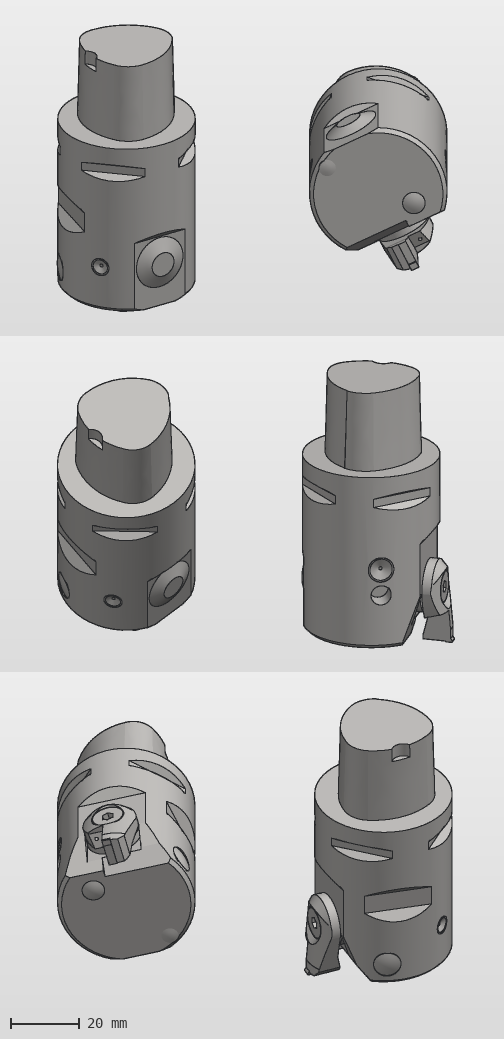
import cadquery as cq
import math

BODY_RADIUS = 20.0
BODY_LENGTH = 53.3
BODY_CHAMFER = 1.2
CUT_REACH = 32.0

SHANK_LENGTH = 24.0
LOBE_RADIUS = 8.9
FLANK_RADIUS = 19.2
LOBE_CENTRE = 6.1
SHANK_TAPER = 1 / 40
SHANK_NOTCH_RADIUS = 3.4
SHANK_NOTCH_DEPTH = 4.2
SHANK_NOTCH_CENTRE_Y = -14.2

GRIP_DISTANCE = 17.6
GRIP_TOP = -6.7
GRIP_BOTTOM = -9.3
GRIP_FLARE = math.tan(math.radians(30))

SEAT_DISTANCE = 17.3
FLAT_TOP = -23.0
FRONT_FLAT_BOTTOM = -29.0
FRONT_FLAT_ANGLE = 260
DIAL_FLAT_DISTANCE = 18.0
DIAL_FLAT_TOP = -30.8

TOOL_Z = -39.2
SEAT_RADIUS = 8.0

RELIEF_SLOPE = 0.31
RELIEF_OVERRUN = 0.8
CLEARANCE_TOP = -47.8
CLEARANCE_SLOPE = 0.69
CLEARANCE_EDGE_Y = 3.6
SLOT_HALF_WIDTH = 8.1
SLOT_FLOOR_X = -14.2
BOSS_FACE_X = -16.7

DIAL_BASE_RADIUS = 8.0
DIAL_TOP_RADIUS = 3.8
DIAL_TOP_X = 19.8

SIDE_DOME_RADIUS = 4.0
SIDE_DOME_RISE = 0.7
SIDE_DOME_ANGLE = 249
SIDE_DOME_Z = -46.5
BOTTOM_DOMES = (
    (-7.0, 8.1, 3.3, 0.7),
    (13.6, -9.8, 2.5, 0.3),
)
CAP_ROOT = 1.6
DIMPLE_TIP_RADIUS = 0.5
DIMPLE_LIP = 0.5
OIL_HOLE_RADIUS = 2.7
OIL_HOLE_DEPTH = 1.1
OIL_HOLE_ANGLE = 305
LOCK_HOLE_RADIUS = 3.8
LOCK_HOLE_DEPTH = 1.6
LOCK_HOLE_Z = -28.8
PLAIN_HOLE_RADIUS = 3.0
PLAIN_HOLE_DEPTH = 6.4
PLAIN_HOLE_Z = -36.6
REAR_HOLE_ANGLE = 113

RIM_FACE_X = -20.1
FRONT_RADIUS = 12.0
CREST_TOP_X = -22.6
CREST_TOP_Z = -34.0
CREST_SLOPE = 0.09
BEND_Z = -52.0
CROWN_LENGTH = 6.4
ARM_TANGENT_ANGLE = 192
ARM_EDGE_Y = 1.1
ARM_BOTTOM = -55.4
ARM_FOOT = ((-3.4, -55.2), (-5.2, -53.1))
HEEL_MIDDLE = (7.0, -43.4)
HEEL_END_Y = 5.0
FLARE_TOP = -48.7
FLARE_BOTTOM = -54.3
FLARE_BOTTOM_X = -15.8
STEP_FRONT_Z = -46.1
STEP_BACK_Z = -47.7
STEP_FRONT_X = -21.7
COOLANT_RADIUS = 0.5
COOLANT_X = -19.9
COOLANT_Y = 3.8
COOLANT_TOP = -44.4
TIP_EDGE_Y = -1.3
TIP_X = -24.7
TIP_Z = -56.0
TIP_ROOT = (-24.0, -54.6)
TIP_POINT = (TIP_X, -55.6)
TIP_NOSE_START = (-24.6, TIP_Z)
TIP_NOSE_END = (-22.7, TIP_Z)
TIP_RELIEF = (-22.6, -55.8)
TIP_HEEL_BOTTOM = -55.7
TIP_HEEL_TOP = -54.9

HEAD_RADIUS = 4.6
HEAD_FACE_X = -22.1
HEAD_SEAT_X = -18.9
COUNTERBORE_RADIUS = 4.8
MOUTH_LENGTH = 6.4
FLARED_MOUTH_SLOPE = 1.1
SCREW_RADIUS = 1.2
SCREW_END_X = -9.6
HEX_CORNER_DIAMETER = 3.6
HEX_DEPTH = 2.0


def x_cylinder(radius, x_start, x_end):
    """Cylinder on the tool axis between two X positions."""
    return cq.Workplane("YZ", origin=(x_start, 0, TOOL_Z)).circle(radius).extrude(x_end - x_start)


def x_cone(radius_start, radius_end, x_start, x_end):
    """Truncated cone on the tool axis between two X positions."""
    outline = [(x_start, 0), (x_start, radius_start), (x_end, radius_end), (x_end, 0)]
    cone = cq.Workplane("XY").polyline(outline).close().revolve(360, (0, 0, 0), (1, 0, 0))
    return cone.translate((0, 0, TOOL_Z))


def chord_cut(angle, profile):
    """Tool that cuts a straight (radius, Z) profile across the body at the given angle about Z."""
    tool = cq.Workplane("XZ").polyline(profile).close().extrude(BODY_RADIUS, both=True)
    return tool.rotate((0, 0, 0), (0, 0, 1), angle)


def flared_notch(angle, distance, top, bottom, flare):
    """Flat-bottomed notch whose upper and lower walls flare outward."""
    rise = (CUT_REACH - distance) * flare
    return chord_cut(angle, [
        (distance, top), (CUT_REACH, top + rise), (CUT_REACH, bottom - rise), (distance, bottom)])


def radial_revolve(profile, angle, z):
    """Revolve an (offset, radius) profile around an axis pointing out of the body."""
    solid = cq.Workplane("XY").polyline(profile).close().revolve(360, (0, 0, 0), (1, 0, 0))
    return solid.translate((0, 0, z)).rotate((0, 0, 0), (0, 0, 1), angle)


def dimple(radius, depth, angle, z):
    """Conical dish with a stepped rim and a small flat tip, sunk radially into the body."""
    rim = math.sqrt(BODY_RADIUS**2 - radius**2)
    return radial_revolve([
        (BODY_RADIUS - depth, 0), (BODY_RADIUS - depth, DIMPLE_TIP_RADIUS),
        (rim, radius - DIMPLE_LIP), (rim, radius), (CUT_REACH, radius), (CUT_REACH, 0)], angle, z)


def ball_cap(radius, rise):
    """Spherical cap with its base on Z = 0, extended down by a short root."""
    ball_radius = (radius**2 + rise**2) / (2 * rise)
    half_angle = math.asin(radius / ball_radius) / 2
    middle = (ball_radius * math.sin(half_angle), rise - ball_radius * (1 - math.cos(half_angle)))
    outline = (cq.Workplane("XZ").moveTo(0, -CAP_ROOT).lineTo(radius, -CAP_ROOT).lineTo(radius, 0)
               .threePointArc(middle, (0, rise)).close())
    return outline.revolve(360, (0, 0, 0), (0, 1, 0))


def polar(centre, radius, degrees):
    """Point at a radius and angle from a centre."""
    angle = math.radians(degrees)
    return (centre[0] + radius * math.cos(angle), centre[1] + radius * math.sin(angle))


def make_shank():
    outline = cq.Workplane("XY").moveTo(*polar(polar((0, 0), LOBE_CENTRE, 90), LOBE_RADIUS, 60))
    for lobe_angle in (90, 210, 330):
        lobe = polar((0, 0), LOBE_CENTRE, lobe_angle)
        opposite = polar((0, 0), LOBE_CENTRE, lobe_angle - 120)
        outline = outline.threePointArc(
            polar(lobe, LOBE_RADIUS, lobe_angle), polar(lobe, LOBE_RADIUS, lobe_angle + 30))
        flank_angle = lobe_angle + 60
        outline = outline.threePointArc(
            polar(opposite, FLANK_RADIUS, flank_angle), polar(opposite, FLANK_RADIUS, flank_angle + 30))
    shank = outline.close().extrude(SHANK_LENGTH, taper=math.degrees(math.atan(SHANK_TAPER)))
    notch = (cq.Workplane("XY", origin=(0, SHANK_NOTCH_CENTRE_Y, SHANK_LENGTH))
             .circle(SHANK_NOTCH_RADIUS).extrude(-SHANK_NOTCH_DEPTH))
    return shank.cut(notch)


def cut_seat(body):
    """Seat flat with its sloped relief, clearance and slot, and the boss standing in the slot."""
    relief_end = -BODY_LENGTH - RELIEF_OVERRUN
    relief_radius = SEAT_DISTANCE - RELIEF_SLOPE * (TOOL_Z - relief_end)
    body = body.cut(chord_cut(180, [
        (SEAT_DISTANCE, FLAT_TOP), (CUT_REACH, FLAT_TOP + CUT_REACH - SEAT_DISTANCE),
        (CUT_REACH, relief_end), (relief_radius, relief_end), (SEAT_DISTANCE, TOOL_Z)]))

    clearance_top_x = -SEAT_DISTANCE + RELIEF_SLOPE * (TOOL_Z - CLEARANCE_TOP)
    clearance_end_x = clearance_top_x + CLEARANCE_SLOPE * (CLEARANCE_TOP - relief_end)
    clearance = (cq.Workplane("XZ", origin=(0, CLEARANCE_EDGE_Y, 0))
                 .polyline([(clearance_top_x, CLEARANCE_TOP), (clearance_end_x, relief_end),
                            (-CUT_REACH, relief_end), (-CUT_REACH, CLEARANCE_TOP)])
                 .close().extrude(CUT_REACH))
    slot = (cq.Workplane("XY")
            .box(CUT_REACH, 2 * SLOT_HALF_WIDTH, BODY_LENGTH, centered=(False, True, False))
            .translate((SLOT_FLOOR_X - CUT_REACH, 0, TOOL_Z - BODY_LENGTH)))
    boss = x_cylinder(SEAT_RADIUS, SLOT_FLOOR_X, BOSS_FACE_X)
    return body.cut(clearance).cut(slot).union(boss)


def cut_radial_hole(body, radius, floor, angle, z):
    """Flat-floored round hole pointing at the Z axis, with its floor at the given distance from it."""
    return body.cut(radial_revolve(
        [(floor, 0), (floor, radius), (CUT_REACH, radius), (CUT_REACH, 0)], angle, z))


def cut_side_flats(body):
    for angle in (45, 135, 225, 315):
        body = body.cut(flared_notch(angle, GRIP_DISTANCE, GRIP_TOP, GRIP_BOTTOM, GRIP_FLARE))
    body = body.cut(flared_notch(FRONT_FLAT_ANGLE, SEAT_DISTANCE, FLAT_TOP, FRONT_FLAT_BOTTOM, 1))
    return body.cut(flared_notch(0, DIAL_FLAT_DISTANCE, DIAL_FLAT_TOP, -BODY_LENGTH, 1))


def add_domes(body):
    """Shallow dome sunk in a round hole in the side, and two domes under the body."""
    base = math.sqrt(BODY_RADIUS**2 - SIDE_DOME_RADIUS**2)
    body = cut_radial_hole(body, SIDE_DOME_RADIUS, base, SIDE_DOME_ANGLE, SIDE_DOME_Z)
    side_dome = (ball_cap(SIDE_DOME_RADIUS, SIDE_DOME_RISE).rotate((0, 0, 0), (0, 1, 0), 90)
                 .translate((base, 0, SIDE_DOME_Z)).rotate((0, 0, 0), (0, 0, 1), SIDE_DOME_ANGLE))
    body = body.union(side_dome)
    for x, y, radius, rise in BOTTOM_DOMES:
        cap = ball_cap(radius, rise).rotate((0, 0, 0), (1, 0, 0), 180)
        body = body.union(cap.translate((x, y, -BODY_LENGTH)))
    return body


def make_housing():
    body = (cq.Workplane("XY").circle(BODY_RADIUS).extrude(-BODY_LENGTH)
            .faces("<Z").chamfer(BODY_CHAMFER))
    body = cut_seat(cut_side_flats(body))
    body = body.union(x_cone(DIAL_BASE_RADIUS, DIAL_TOP_RADIUS, DIAL_FLAT_DISTANCE, DIAL_TOP_X))
    body = body.cut(dimple(OIL_HOLE_RADIUS, OIL_HOLE_DEPTH, OIL_HOLE_ANGLE, TOOL_Z))
    body = body.cut(dimple(LOCK_HOLE_RADIUS, LOCK_HOLE_DEPTH, REAR_HOLE_ANGLE, LOCK_HOLE_Z))
    plain_floor = BODY_RADIUS - PLAIN_HOLE_DEPTH
    body = cut_radial_hole(body, PLAIN_HOLE_RADIUS, plain_floor, REAR_HOLE_ANGLE, PLAIN_HOLE_Z)
    body = add_domes(body)
    screw_hole = x_cylinder(SCREW_RADIUS, SCREW_END_X, -CUT_REACH)
    return body.cut(screw_hole).union(make_shank())


def trim_cutter_front(blank):
    """Round the front of a blank: a tilted cylinder above the bend, an upright one below."""
    bend_x = CREST_TOP_X - CREST_SLOPE * (CREST_TOP_Z - BEND_Z)
    tilt = math.degrees(math.atan(CREST_SLOPE))
    upright = (cq.Workplane("XY", origin=(bend_x + FRONT_RADIUS, 0, BEND_Z))
               .circle(FRONT_RADIUS).extrude(-CUT_REACH))
    tilted = (cq.Workplane("XY").circle(FRONT_RADIUS).extrude(CUT_REACH, both=True)
              .translate((FRONT_RADIUS, 0, 0)).rotate((0, 0, 0), (0, 1, 0), tilt)
              .translate((bend_x, 0, BEND_Z)))
    above_bend = (cq.Workplane("XY", origin=(0, 0, BEND_Z))
                  .rect(4 * CUT_REACH, 4 * CUT_REACH).extrude(CUT_REACH))
    upper = blank.intersect(above_bend).intersect(tilted)
    return upper.union(blank.intersect(upright))


def make_arm():
    """Round head with an arm hanging from it; the flat back flares toward the housing at the tip."""
    tool_centre = (0, TOOL_Z)
    head_top = TOOL_Z + SEAT_RADIUS
    outline = (cq.Workplane("YZ", origin=(-CUT_REACH, 0, 0))
               .moveTo(SEAT_RADIUS, TOOL_Z)
               .threePointArc(HEEL_MIDDLE, (HEEL_END_Y, STEP_BACK_Z))
               .lineTo(ARM_EDGE_Y, STEP_BACK_Z)
               .lineTo(ARM_EDGE_Y, ARM_BOTTOM)
               .lineTo(TIP_EDGE_Y, ARM_BOTTOM))
    for corner in ARM_FOOT:
        outline = outline.lineTo(*corner)
    outline = (outline.lineTo(*polar(tool_centre, SEAT_RADIUS, ARM_TANGENT_ANGLE))
               .threePointArc((0, head_top), (SEAT_RADIUS, TOOL_Z)))
    arm = outline.close().extrude(CUT_REACH)
    side = (cq.Workplane("XZ")
            .polyline([(-SEAT_DISTANCE, head_top), (-SEAT_DISTANCE, FLARE_TOP),
                       (FLARE_BOTTOM_X, FLARE_BOTTOM), (FLARE_BOTTOM_X, TIP_Z),
                       (-CUT_REACH, TIP_Z), (-CUT_REACH, head_top)])
            .close().extrude(BODY_RADIUS, both=True))
    return arm.intersect(side)


def cut_crown(cutter):
    """Conical bevel around the upper half of the head."""
    rim_margin = 1.6
    bevel = (cq.Workplane("XY")
             .polyline([(RIM_FACE_X + rim_margin, SEAT_RADIUS + rim_margin),
                        (RIM_FACE_X - CROWN_LENGTH, SEAT_RADIUS - CROWN_LENGTH),
                        (RIM_FACE_X - CROWN_LENGTH, SEAT_RADIUS + rim_margin)])
             .close().revolve(180, (0, 0, 0), (1, 0, 0)))
    return cutter.cut(bevel.translate((0, 0, TOOL_Z)))


def cut_heel(cutter):
    """Sloped step under the heel with a small coolant hole in it."""
    step = (cq.Workplane("XZ", origin=(0, ARM_EDGE_Y, 0))
            .polyline([(-SEAT_DISTANCE, STEP_BACK_Z), (STEP_FRONT_X, STEP_FRONT_Z),
                       (-CUT_REACH, STEP_FRONT_Z), (-CUT_REACH, TIP_Z), (-SEAT_DISTANCE, TIP_Z)])
            .close().extrude(-BODY_RADIUS))
    coolant_hole = (cq.Workplane("XY", origin=(COOLANT_X, COOLANT_Y, COOLANT_TOP))
                    .circle(COOLANT_RADIUS).extrude(TIP_Z - COOLANT_TOP))
    return cutter.cut(step).cut(coolant_hole)


def make_tip():
    return (cq.Workplane("XZ", origin=(0, ARM_EDGE_Y, 0))
            .polyline([TIP_ROOT, TIP_POINT, TIP_NOSE_START, TIP_NOSE_END, TIP_RELIEF,
                       (FLARE_BOTTOM_X, TIP_HEEL_BOTTOM), (FLARE_BOTTOM_X, TIP_HEEL_TOP)])
            .close().extrude(ARM_EDGE_Y - TIP_EDGE_Y))


def make_cutter():
    cutter = cut_crown(trim_cutter_front(make_arm()))
    cutter = cut_heel(cutter).union(make_tip())

    counterbore = x_cylinder(COUNTERBORE_RADIUS, HEAD_SEAT_X, HEAD_FACE_X)
    mouth = x_cone(COUNTERBORE_RADIUS, COUNTERBORE_RADIUS + MOUTH_LENGTH * FLARED_MOUTH_SLOPE,
                   HEAD_FACE_X, HEAD_FACE_X - MOUTH_LENGTH)
    screw_hole = x_cylinder(SCREW_RADIUS, SCREW_END_X, -CUT_REACH)
    return cutter.cut(counterbore).cut(mouth).cut(screw_hole)


def make_screw():
    shank = x_cylinder(SCREW_RADIUS, SCREW_END_X, HEAD_SEAT_X)
    head = x_cylinder(HEAD_RADIUS, HEAD_SEAT_X, HEAD_FACE_X)
    socket = (cq.Workplane("YZ", origin=(HEAD_FACE_X, 0, TOOL_Z))
              .transformed(rotate=(0, 0, 90)).polygon(6, HEX_CORNER_DIAMETER).extrude(HEX_DEPTH))
    return shank.union(head).cut(socket)


housing = make_housing()
cutter = make_cutter()
screw = make_screw()

result = cq.Compound.makeCompound([housing.val(), cutter.val(), screw.val()])